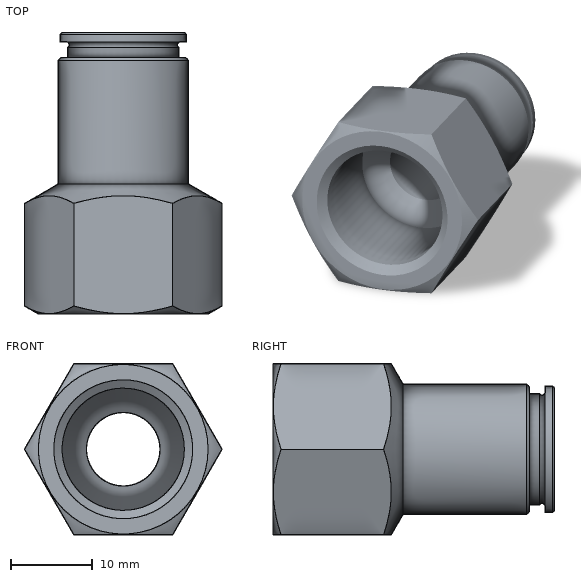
import cadquery as cq
import math

total_length = 34.55
hex_across_flats = 21.0
hex_corner_radius = hex_across_flats / math.sqrt(3)
bevel_slope = math.tan(math.radians(30))

face_radius = 20.8 / 2
shoulder_end = 15.95

body_radius = 16.0 / 2
body_end = 31.48
body_chamfer = 0.35

neck_radius = 13.65 / 2
neck_end = 32.72
undercut_depth = 0.17
undercut_flange_radius = 6.98
flange_radius = 15.5 / 2
flange_start = 33.38
flange_chamfer = 0.25

mouth_radius = 17.05 / 2
socket_radius = 15.0 / 2
socket_depth = 13.82
through_radius = 9.0 / 2


def revolve_about_y(profile):
    return profile.close().revolve(360, (0, 0, 0), (0, 1, 0))


def make_hexagon():
    """Hexagonal prism with corners on +X and -X, bevelled by cones at both ends."""
    prism = (
        cq.Workplane("XZ")
        .polygon(6, 2 * hex_corner_radius)
        .extrude(-shoulder_end)
    )
    envelope_radius = hex_corner_radius + 0.35
    front_bevel = (envelope_radius - face_radius) * bevel_slope
    back_bevel = (envelope_radius - body_radius) * bevel_slope
    envelope = revolve_about_y(
        cq.Workplane("XY")
        .lineTo(face_radius, 0)
        .lineTo(envelope_radius, front_bevel)
        .lineTo(envelope_radius, shoulder_end - back_bevel)
        .lineTo(body_radius, shoulder_end)
        .lineTo(0, shoulder_end)
    )
    return prism.intersect(envelope)


def make_body_and_collar():
    """Round body, neck with a rounded undercut, and end flange."""
    undercut_middle = (neck_end + flange_start) / 2
    return revolve_about_y(
        cq.Workplane("XY")
        .lineTo(body_radius, 0)
        .lineTo(body_radius, body_end - body_chamfer)
        .lineTo(body_radius - body_chamfer, body_end)
        .lineTo(neck_radius, body_end)
        .lineTo(neck_radius, neck_end)
        .threePointArc(
            (neck_radius - undercut_depth, undercut_middle),
            (undercut_flange_radius, flange_start),
        )
        .lineTo(flange_radius, flange_start)
        .lineTo(flange_radius, total_length - flange_chamfer)
        .lineTo(flange_radius - flange_chamfer, total_length)
        .lineTo(0, total_length)
    )


def make_bore():
    """Chamfered socket that narrows through a cone to the through hole."""
    mouth_chamfer = mouth_radius - socket_radius
    cone_end = socket_depth + (socket_radius - through_radius) * bevel_slope
    return revolve_about_y(
        cq.Workplane("XY")
        .lineTo(mouth_radius, 0)
        .lineTo(socket_radius, mouth_chamfer)
        .lineTo(socket_radius, socket_depth)
        .lineTo(through_radius, cone_end)
        .lineTo(through_radius, total_length)
        .lineTo(0, total_length)
    )


result = make_hexagon().union(make_body_and_collar()).cut(make_bore())